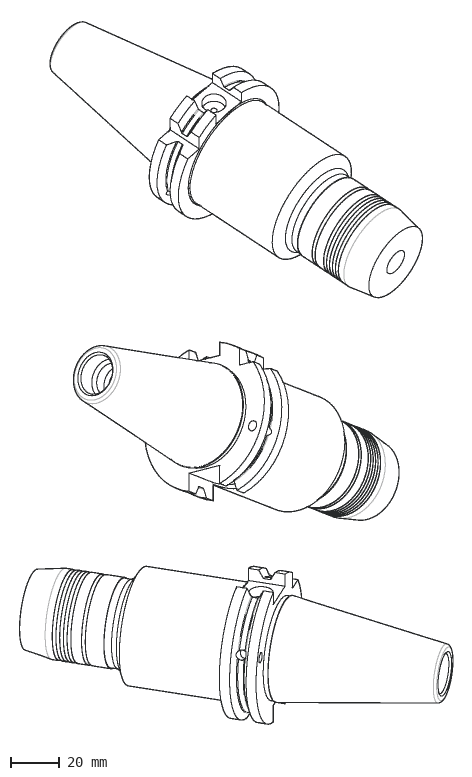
import cadquery as cq
import math


taper_length = 68.3
gauge_radius = 22.21
taper_ratio = 7 / 48
taper_overrun = 1.0
small_end_radius = gauge_radius - taper_ratio * taper_length
large_end_radius = gauge_radius + taper_ratio * taper_overrun
end_rounding = 1.0
relief_radius = 22.0

flange_radius = 31.8
flange_start = 3.2
flange_end = 19.0
groove_center = 11.0
groove_bottom_radius = 28.2
groove_top_half_width = 3.5
groove_wall_angle = 30.0
groove_fillet = 0.5

slot_width = 16.0
top_slot_floor = 25.0
bottom_slot_floor = 22.8
bottom_slot_end_center = 18.4
notch_distance = 18.5

chip_diameter = 10.0
chip_depth = 4.6
chip_dimple_diameter = 2.5
chip_dimple_depth = 1.8

coolant_diameter = 4.3
coolant_circle_radius = 27.1
coolant_angle = 20.0
coolant_plug_depth = 5.4

total_length = 178.4
nose_end = total_length - taper_length
body_radius = 25.0
body_root_fillet = 0.5
body_end = 64.4
shoulder_foot_x = 67.3
shoulder_foot_radius = 20.0
neck_start = 69.8
neck_radius = 18.7
nose_start = 73.0
nose_radius = 19.0
nose_tip_start = 98.3
nose_tip_radius = 17.0
ring_groove_starts = (81.0, 87.2, 90.5, 93.7)
ring_groove_width = 1.6
ring_groove_depth = 0.2

bore_mouth_radius = 9.3
pilot_radius = 8.4
pilot_depth = 8.0
thread_radius = 7.0
thread_depth = 14.3
through_radius = 5.5


def outer_body():
    """Revolve the taper, flange, body and nose outline."""
    corner = 1 - math.sqrt(0.5)
    outline = (
        cq.Workplane("XZ")
        .moveTo(-taper_length, 0)
        .lineTo(-taper_length, small_end_radius - end_rounding)
        .threePointArc(
            (-taper_length + end_rounding * corner, small_end_radius - end_rounding * corner),
            (-taper_length + end_rounding, small_end_radius + taper_ratio * end_rounding),
        )
        .lineTo(taper_overrun, large_end_radius)
        .lineTo(taper_overrun, relief_radius)
        .lineTo(flange_start, relief_radius)
        .lineTo(flange_start, flange_radius)
        .lineTo(flange_end, flange_radius)
        .lineTo(flange_end, body_radius + body_root_fillet)
        .threePointArc(
            (flange_end + body_root_fillet * corner, body_radius + body_root_fillet * corner),
            (flange_end + body_root_fillet, body_radius),
        )
        .lineTo(body_end, body_radius)
        .lineTo(shoulder_foot_x, shoulder_foot_radius)
        .lineTo(neck_start, neck_radius)
        .lineTo(nose_start, neck_radius)
        .lineTo(nose_start, nose_radius)
        .lineTo(nose_tip_start, nose_radius)
        .lineTo(nose_end, nose_tip_radius)
        .lineTo(nose_end, 0)
        .close()
    )
    return outline.revolve(360, (0, 0, 0), (1, 0, 0))


def gripper_groove():
    """V groove around the flange, with rounded bottom corners."""
    wall = math.radians(groove_wall_angle)
    depth = flange_radius - groove_bottom_radius
    bottom_half = groove_top_half_width - depth * math.tan(wall)
    setback = groove_fillet * math.tan((math.pi / 2 - wall) / 2)
    wall_x = bottom_half + setback * math.sin(wall)
    wall_radius = groove_bottom_radius + setback * math.cos(wall)
    flat_half = bottom_half - setback
    outline = (
        cq.Workplane("XZ")
        .moveTo(groove_center + groove_top_half_width, flange_radius)
        .lineTo(groove_center + wall_x, wall_radius)
        .tangentArcPoint((groove_center + flat_half, groove_bottom_radius), relative=False)
        .lineTo(groove_center - flat_half, groove_bottom_radius)
        .tangentArcPoint((groove_center - wall_x, wall_radius), relative=False)
        .lineTo(groove_center - groove_top_half_width, flange_radius)
        .close()
    )
    return outline.revolve(360, (0, 0, 0), (1, 0, 0))


def ring_groove(start):
    """Shallow ring around the nose."""
    ring = cq.Workplane("YZ", origin=(start, 0, 0)).circle(nose_radius)
    return ring.circle(nose_radius - ring_groove_depth).extrude(ring_groove_width)


def flange_block(y_low, z_low, y_size, z_size):
    """Box spanning the flange along X, with its lower Y and Z corner at the given place."""
    flange_width = flange_end - flange_start
    block = cq.Workplane("XY").box(flange_width, y_size, z_size, centered=False)
    return block.translate((flange_start, y_low, z_low))


def drive_slots():
    """Open top slot, and a deeper bottom slot that runs out round into the body."""
    half_width = slot_width / 2
    top = flange_block(-half_width, top_slot_floor, slot_width, flange_radius)
    bottom = (
        cq.Workplane("XY", origin=(0, 0, -bottom_slot_floor))
        .moveTo(flange_start, half_width)
        .lineTo(bottom_slot_end_center, half_width)
        .threePointArc(
            (bottom_slot_end_center + half_width, 0),
            (bottom_slot_end_center, -half_width),
        )
        .lineTo(flange_start, -half_width)
        .close()
        .extrude(-flange_radius)
    )
    return top.union(bottom)


def orientation_notch():
    """Corner notch on the -Y, +Z side of the flange."""
    notch_low_y = -notch_distance - flange_radius
    return flange_block(notch_low_y, notch_distance, flange_radius, flange_radius)


def chip_pocket():
    """Round pocket with a small conical center dimple, sunk into the top slot floor."""
    floor = cq.Workplane("XY", origin=(groove_center, 0, top_slot_floor))
    pocket = floor.circle(chip_diameter / 2).extrude(-chip_depth)
    dimple = cq.Workplane(
        cq.Solid.makeCone(
            chip_dimple_diameter / 2,
            0,
            chip_dimple_depth,
            pnt=cq.Vector(groove_center, 0, top_slot_floor - chip_depth),
            dir=cq.Vector(0, 0, -1),
        )
    )
    return pocket.union(dimple)


def coolant_hole(angle):
    """Axial hole from the flange face, meeting a radial plug hole in the groove."""
    axial = (
        cq.Workplane("YZ", origin=(flange_start, coolant_circle_radius, 0))
        .circle(coolant_diameter / 2)
        .extrude(groove_center - flange_start)
    )
    plug = (
        cq.Workplane("XZ", origin=(groove_center, groove_bottom_radius - coolant_plug_depth, 0))
        .circle(coolant_diameter / 2)
        .extrude(-(flange_radius - groove_bottom_radius + coolant_plug_depth))
    )
    return axial.union(plug).rotate((0, 0, 0), (1, 0, 0), angle)


def stepped_bore():
    """Through bore, widened at the small end by a thread bore and a chamfered pilot."""
    mouth_chamfer = bore_mouth_radius - pilot_radius
    pilot_end = -taper_length + pilot_depth
    thread_end = -taper_length + thread_depth
    outline = (
        cq.Workplane("XZ")
        .moveTo(-taper_length, 0)
        .lineTo(-taper_length, bore_mouth_radius)
        .lineTo(-taper_length + mouth_chamfer, pilot_radius)
        .lineTo(pilot_end, pilot_radius)
        .lineTo(pilot_end + pilot_radius - thread_radius, thread_radius)
        .lineTo(thread_end, thread_radius)
        .lineTo(thread_end + thread_radius - through_radius, through_radius)
        .lineTo(nose_end, through_radius)
        .lineTo(nose_end, 0)
        .close()
    )
    return outline.revolve(360, (0, 0, 0), (1, 0, 0))


result = outer_body().cut(gripper_groove())
for groove_start in ring_groove_starts:
    result = result.cut(ring_groove(groove_start))
result = result.cut(drive_slots()).cut(orientation_notch()).cut(chip_pocket())
for hole_angle in (coolant_angle, coolant_angle + 180):
    result = result.cut(coolant_hole(hole_angle))
result = result.cut(stepped_bore())